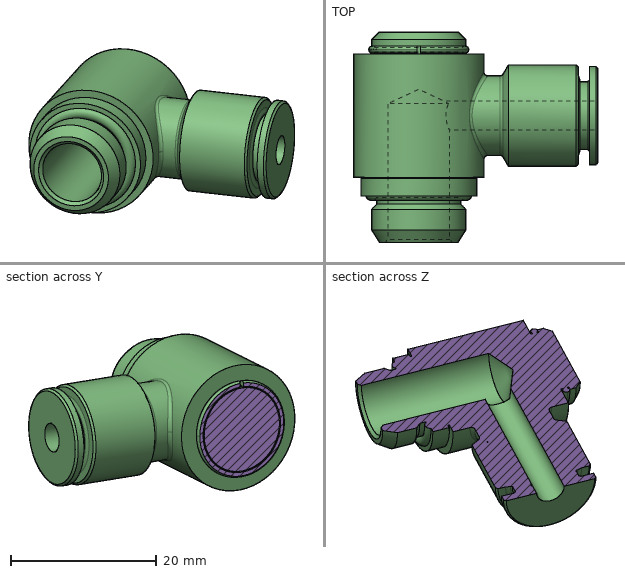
import cadquery as cq
import math

sleeve_radius = 9.0
sleeve_half_length = 8.5

collar_radius = 8.0
collar_gap = 0.15
collar_gap_radius = 7.5
collar_face_y = -11.1
seal_ring_radius = 0.8
seal_ring_centre_radius = 6.5
seal_ring_front_y = -11.7
undercut_radius = 5.8
thread_radius = 6.5
undercut_end_y = -12.2
tip_chamfer_length = 1.75
tip_radius = 5.4
stud_end_y = -17.5

plug_radius = 6.5
plug_end_y = 11.5
plug_chamfer = 1.0
snap_ring_radius = 0.5
snap_ring_outer_radius = 6.9
snap_ring_clearance = 0.1
groove_radius = 6.0
ring_gap = 0.5

bore_radius = 4.25
bore_mouth_radius = 4.7
bore_shoulder_y = 1.65
drill_point_angle = 130.0

neck_radius = 5.5
neck_fillet = 0.5
socket_root_fillet = 0.45
socket_cone_angle = 60.0
socket_shoulder_x = 12.35
socket_radius = 7.0
socket_end_x = 22.0
socket_chamfer = 0.3
guide_root_radius = 5.6
guide_tip_radius = 4.95
guide_length = 0.2
release_neck_radius = 4.7
release_flange_radius = 6.8
release_flange_x = 23.5
release_flange_root = 0.2
release_end_x = 24.7
release_chamfer = 0.3
cross_hole_radius = 2.0


def revolve_about_y(profile):
    """Revolve an outline of (radius, y) points about the Y axis."""
    outline = cq.Workplane("XY").polyline(profile).close()
    return outline.revolve(360, (0, 0, 0), (0, 1, 0))


def ring_about_y(centre_radius, centre_y, section_radius):
    """Round-section ring around the Y axis."""
    section = cq.Workplane("XY").center(centre_radius, centre_y).circle(section_radius)
    return section.revolve(360, (-centre_radius, -centre_y, 0), (-centre_radius, 1 - centre_y, 0))


def make_sleeve_with_branch():
    """Sleeve and branch, blended by a small fillet where the neck meets the sleeve."""
    sleeve = (
        cq.Workplane("XZ", origin=(0, sleeve_half_length, 0))
        .circle(sleeve_radius)
        .extrude(2 * sleeve_half_length)
    )
    margin = 1.0
    joint_reach = neck_radius + margin
    joint = cq.selectors.BoxSelector(
        (0, -joint_reach, -joint_reach),
        (sleeve_radius + margin, joint_reach, joint_reach),
    )
    return sleeve.union(make_socket()).edges(joint).fillet(neck_fillet)


def make_stud():
    """Collar, undercut and threaded end that project from the -Y face of the sleeve."""
    undercut_rise = thread_radius - undercut_radius
    stud = revolve_about_y([
        (0, 0),
        (collar_gap_radius, 0),
        (collar_gap_radius, -sleeve_half_length - collar_gap),
        (collar_radius, -sleeve_half_length - collar_gap),
        (collar_radius, collar_face_y),
        (undercut_radius, collar_face_y),
        (undercut_radius, undercut_end_y),
        (thread_radius, undercut_end_y - undercut_rise),
        (thread_radius, stud_end_y + tip_chamfer_length),
        (tip_radius, stud_end_y),
        (0, stud_end_y),
    ])
    seal = ring_about_y(seal_ring_centre_radius, seal_ring_front_y + seal_ring_radius, seal_ring_radius)
    return stud.union(seal)


def make_plug():
    """Chamfered plug with a split snap ring seated beside the +Y face of the sleeve."""
    ring_centre_y = sleeve_half_length + snap_ring_clearance + snap_ring_radius
    groove_end_y = ring_centre_y + snap_ring_radius
    plug = revolve_about_y([
        (0, 0),
        (groove_radius, 0),
        (groove_radius, groove_end_y),
        (plug_radius, groove_end_y),
        (plug_radius, plug_end_y - plug_chamfer),
        (plug_radius - plug_chamfer, plug_end_y),
        (0, plug_end_y),
    ])
    snap_ring = ring_about_y(snap_ring_outer_radius - snap_ring_radius, ring_centre_y, snap_ring_radius)
    split = (
        cq.Workplane("XY", origin=(0, ring_centre_y, 0))
        .rect(ring_gap, 2 * snap_ring_radius)
        .extrude(snap_ring_outer_radius)
    )
    return plug.union(snap_ring.cut(split))


def make_socket():
    """Push-in socket and release collar at the end of the branch."""
    slope = math.radians(socket_cone_angle)
    cone_root_radius = neck_radius + socket_root_fillet * (1 - math.cos(slope))
    cone_root_x = socket_shoulder_x - (socket_radius - cone_root_radius) / math.tan(slope)
    neck_end_x = cone_root_x - socket_root_fillet * math.sin(slope)
    blend_middle = (
        neck_end_x + socket_root_fillet * math.sin(slope / 2),
        neck_radius + socket_root_fillet * (1 - math.cos(slope / 2)),
    )
    outline = (
        cq.Workplane("XY")
        .lineTo(0, neck_radius)
        .lineTo(neck_end_x, neck_radius)
        .threePointArc(blend_middle, (cone_root_x, cone_root_radius))
        .lineTo(socket_shoulder_x, socket_radius)
        .lineTo(socket_end_x - socket_chamfer, socket_radius)
        .lineTo(socket_end_x, socket_radius - socket_chamfer)
        .lineTo(socket_end_x, guide_root_radius)
        .lineTo(socket_end_x + guide_length, guide_tip_radius)
        .lineTo(socket_end_x + guide_length, release_neck_radius)
        .lineTo(release_flange_x - release_flange_root, release_neck_radius)
        .lineTo(release_flange_x, release_neck_radius + release_flange_root)
        .lineTo(release_flange_x, release_flange_radius)
        .lineTo(release_end_x - release_chamfer, release_flange_radius)
        .lineTo(release_end_x, release_flange_radius - release_chamfer)
        .lineTo(release_end_x, 0)
        .close()
    )
    return outline.revolve(360, (0, 0, 0), (1, 0, 0))


def make_bolt_bore():
    """Blind bore with a chamfered mouth and a conical drill point."""
    point_length = bore_radius / math.tan(math.radians(drill_point_angle / 2))
    mouth_chamfer = bore_mouth_radius - bore_radius
    return revolve_about_y([
        (0, stud_end_y),
        (bore_mouth_radius, stud_end_y),
        (bore_radius, stud_end_y + mouth_chamfer),
        (bore_radius, bore_shoulder_y),
        (0, bore_shoulder_y + point_length),
    ])


def make_cross_hole():
    """Passage from the bolt bore out through the end of the branch."""
    return cq.Workplane("YZ").circle(cross_hole_radius).extrude(release_end_x)


result = (
    make_sleeve_with_branch()
    .union(make_stud())
    .union(make_plug())
    .cut(make_bolt_bore())
    .cut(make_cross_hole())
)